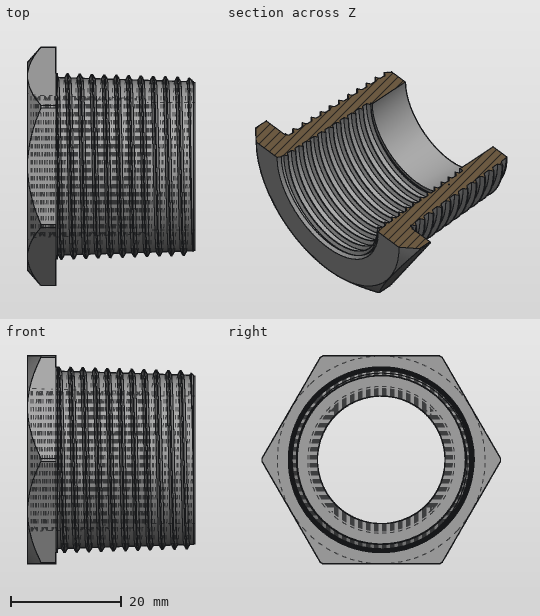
import cadquery as cq
import math

TOTAL_LENGTH = 30.3

ACROSS_FLATS = 37.6
CORNER_DIAMETER = 43.09
HEAD_THICKNESS = 5.15
HEAD_FACE_DIAMETER = 37.55
HEAD_CHAMFER_DEPTH = 2.45

COLLAR_DIAMETER = 33.47
COLLAR_LENGTH = 0.25

RADIUS_TAPER = 1 / 32
TAPER_ANGLE = math.degrees(math.atan(RADIUS_TAPER))
FLANK_SLOPE = math.tan(math.radians(30))
MALE_TIP_WIDTH = 0.2
FEMALE_TIP_WIDTH = 0.1

MALE_PITCH = 25.4 / 11.5
MALE_CORE_DIAMETER = 32.14
MALE_RIDGE_HEIGHT = 0.75
MALE_RIDGE_START = 2.29

SHOULDER_DIAMETER = 30.56
SHOULDER_ANGLE = 40.0
STEP_DIAMETER = 30.36
STEP_LENGTH = 0.28

BORE_DIAMETER = 23.0
MOUTH_DIAMETER = 26.55
MOUTH_DEPTH = 0.7
FEMALE_PITCH = 25.4 / 14
FEMALE_CONE_DIAMETER = 25.8
FEMALE_RIDGE_HEIGHT = 0.67
FEMALE_RIDGE_START = -2.3
FEMALE_LENGTH = 22.0

OVERLAP = 0.15


def revolve_about_x(points):
    """Solid of revolution from (x, radius) points."""
    return cq.Workplane("XY").polyline(points).close().revolve(360, (0, 0, 0), (1, 0, 0))


def hexagonal_head():
    hexagon_diameter = ACROSS_FLATS / math.cos(math.pi / 6)
    hexagon = cq.Workplane("YZ").polygon(6, hexagon_diameter).extrude(HEAD_THICKNESS)
    corner_radius = CORNER_DIAMETER / 2
    turned_blank = revolve_about_x([
        (0, 0),
        (0, HEAD_FACE_DIAMETER / 2),
        (HEAD_CHAMFER_DEPTH, corner_radius),
        (HEAD_THICKNESS, corner_radius),
        (HEAD_THICKNESS, 0),
    ])
    return hexagon.intersect(turned_blank)


def tapered_core(base_radius, start, end):
    """Solid cone on the shared taper, with base_radius at X = 0."""
    return revolve_about_x([
        (start, 0),
        (start, base_radius - start * RADIUS_TAPER),
        (end, base_radius - end * RADIUS_TAPER),
        (end, 0),
    ])


def helical_ridge(pitch, base_radius, start, end, rise, tip_width):
    """Right-hand ridge that follows the shared taper and begins on the -Z side at X = start.

    base_radius is the radius at X = 0 of the cone it stands on. The ridge stands outwards when
    rise is positive and inwards when it is negative.
    """
    foot_radius = base_radius - start * RADIUS_TAPER
    overlap = math.copysign(OVERLAP, rise)
    tip_half = tip_width / 2
    foot_half = tip_half + abs(rise + overlap) * FLANK_SLOPE
    profile = cq.Workplane("XZ").polyline([
        (foot_radius - overlap, -foot_half),
        (foot_radius + rise, -tip_half),
        (foot_radius + rise, tip_half),
        (foot_radius - overlap, foot_half),
    ]).close()
    spine = cq.Wire.makeHelix(pitch, end - start, foot_radius, angle=-TAPER_ANGLE)
    ridge = profile.sweep(cq.Workplane(obj=spine), isFrenet=True)
    return ridge.rotate((0, 0, 0), (0, 1, 0), 90).translate((start, 0, 0))


def male_shank():
    base_radius = MALE_CORE_DIAMETER / 2 + HEAD_THICKNESS * RADIUS_TAPER
    ridge_end = TOTAL_LENGTH + MALE_PITCH
    core = tapered_core(base_radius, MALE_RIDGE_START - MALE_PITCH, ridge_end + MALE_PITCH)
    ridge = helical_ridge(
        MALE_PITCH, base_radius, MALE_RIDGE_START, ridge_end, MALE_RIDGE_HEIGHT, MALE_TIP_WIDTH
    )
    rod = core.union(ridge, clean=False)
    outer_radius = CORNER_DIAMETER / 2
    shoulder_radius = SHOULDER_DIAMETER / 2
    step_radius = STEP_DIAMETER / 2
    step_start = TOTAL_LENGTH - STEP_LENGTH
    chamfer_length = (outer_radius - shoulder_radius) / math.tan(math.radians(SHOULDER_ANGLE))
    envelope = revolve_about_x([
        (HEAD_THICKNESS, 0),
        (HEAD_THICKNESS, outer_radius),
        (step_start - chamfer_length, outer_radius),
        (step_start, shoulder_radius),
        (step_start, step_radius),
        (TOTAL_LENGTH, step_radius),
        (TOTAL_LENGTH, 0),
    ])
    return rod.intersect(envelope, clean=False)


def collar():
    blank = cq.Workplane("YZ").circle(COLLAR_DIAMETER / 2).extrude(COLLAR_LENGTH)
    return blank.translate((HEAD_THICKNESS, 0, 0))


def female_thread_space():
    base_radius = FEMALE_CONE_DIAMETER / 2
    ridge_end = FEMALE_LENGTH + FEMALE_PITCH
    core = tapered_core(base_radius, FEMALE_RIDGE_START - FEMALE_PITCH, ridge_end + FEMALE_PITCH)
    ridge = helical_ridge(
        FEMALE_PITCH, base_radius, FEMALE_RIDGE_START, ridge_end, -FEMALE_RIDGE_HEIGHT, FEMALE_TIP_WIDTH
    )
    rod = core.cut(ridge, clean=False)
    envelope = cq.Workplane("YZ").circle(MOUTH_DIAMETER / 2).extrude(FEMALE_LENGTH - MOUTH_DEPTH)
    envelope = envelope.translate((MOUTH_DEPTH, 0, 0))
    return rod.intersect(envelope, clean=False)


def through_bore():
    bore_radius = BORE_DIAMETER / 2
    mouth_radius = MOUTH_DIAMETER / 2
    return revolve_about_x([
        (0, 0),
        (0, mouth_radius),
        (MOUTH_DEPTH, FEMALE_CONE_DIAMETER / 2 - MOUTH_DEPTH * RADIUS_TAPER),
        (MOUTH_DEPTH, bore_radius),
        (TOTAL_LENGTH, bore_radius),
        (TOTAL_LENGTH, 0),
    ])


bushing = hexagonal_head().union(collar(), clean=False).union(male_shank(), clean=False)
result = bushing.cut(through_bore(), clean=False).cut(female_thread_space(), clean=False)